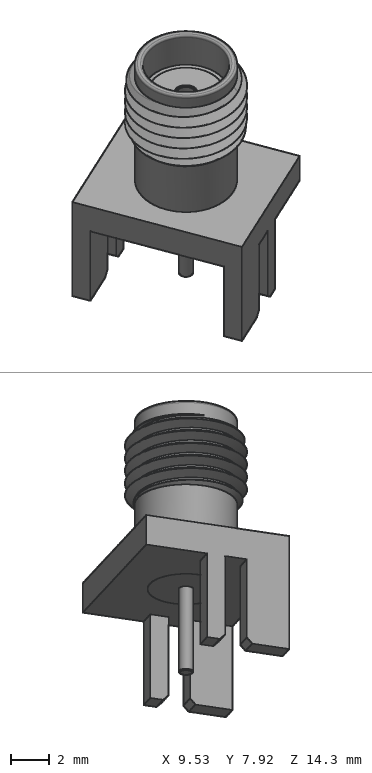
import cadquery as cq
import math

plate_x = 9.53
plate_y = 7.92
plate_thickness = 1.67
leg_length = 4.73
total_height = 14.28
plate_top = leg_length + plate_thickness

leg_thickness = 1.02
front_leg_width = 2.35
rear_leg_width = 1.01
leg_gap = 1.19
leg_chamfer = 0.3

barrel_radius = 2.67
bore_radius = 2.24
bore_depth = 2.0
rim_fillet = 0.13
bore_floor = total_height - bore_depth

thread_radius = 3.18
thread_pitch = 25.4 / 36
thread_flank_angle = 30
thread_top = total_height - 0.78
thread_length = 4.0
thread_bottom = thread_top - thread_length
first_crest_drop = 1.935
turns_below_first_crest = 5
thread_turns = 7
thread_embed = 0.03

insulator_radius = 2.0
contact_radius = 0.6
contact_recess = 0.05
socket_radius = 0.5
socket_depth = 3.5
pin_radius = 0.38
pin_tip_chamfer = 0.06


def cylinder(radius, bottom, top):
    return cq.Workplane("XY").workplane(offset=bottom).circle(radius).extrude(top - bottom)


def make_leg(side, y_front, width, chamfered_edge):
    """One leg, running up through the plate, chamfered at the tip corner facing the leg gap."""
    x_center = side * (plate_x - leg_thickness) / 2
    y_center = y_front + width / 2
    leg = cq.Workplane("XY").box(leg_thickness, width, plate_top, centered=(True, True, False))
    leg = leg.edges(chamfered_edge).chamfer(leg_chamfer)
    return leg.translate((x_center, y_center, 0))


def make_thread_envelope():
    """Blank of the thread, with both ends chamfered at 45 degrees down to the barrel."""
    overshoot = 2 * (thread_radius - barrel_radius)
    envelope_radius = barrel_radius + overshoot
    return (
        cq.Workplane("XZ")
        .moveTo(0, thread_bottom)
        .lineTo(barrel_radius, thread_bottom)
        .lineTo(envelope_radius, thread_bottom + overshoot)
        .lineTo(envelope_radius, thread_top - overshoot)
        .lineTo(barrel_radius, thread_top)
        .lineTo(0, thread_top)
        .close()
        .revolve(360, (0, 0, 0), (0, 1, 0))
    )


def make_thread():
    """Sharp V ridge swept along a helix and trimmed by the chamfered blank."""
    root_radius = barrel_radius - thread_embed
    half_width = (thread_radius - root_radius) * math.tan(math.radians(thread_flank_angle))
    helix_start = total_height - first_crest_drop - turns_below_first_crest * thread_pitch
    helix = cq.Wire.makeHelix(thread_pitch, thread_turns * thread_pitch, barrel_radius)
    ridge = (
        cq.Workplane("XZ")
        .moveTo(root_radius, -half_width)
        .lineTo(thread_radius, 0)
        .lineTo(root_radius, half_width)
        .close()
        .sweep(cq.Workplane(helix), isFrenet=True)
        .rotate((0, 0, 0), (0, 0, 1), 180)
        .translate((0, 0, helix_start))
    )
    return ridge.intersect(make_thread_envelope())


def make_barrel():
    barrel = cylinder(barrel_radius, plate_top, total_height)
    barrel = barrel.cut(cylinder(bore_radius, bore_floor, total_height))
    barrel = barrel.faces(">Z").edges().fillet(rim_fillet)
    return barrel.union(make_thread())


def make_housing():
    plate = cq.Workplane("XY").box(plate_x, plate_y, plate_thickness, centered=(True, True, False))
    housing = plate.translate((0, 0, leg_length))
    front_leg_y = -plate_y / 2
    rear_leg_y = front_leg_y + front_leg_width + leg_gap
    for side in (-1, 1):
        housing = housing.union(make_leg(side, front_leg_y, front_leg_width, ">Y and <Z"))
        housing = housing.union(make_leg(side, rear_leg_y, rear_leg_width, "<Y and <Z"))
    housing = housing.union(make_barrel())
    insulator_hole = cylinder(insulator_radius, leg_length, bore_floor)
    return housing.cut(insulator_hole)


def make_contact_insert():
    """Insulator plug with the socket of the contact at the top and its solder pin below."""
    insert = cylinder(insulator_radius, leg_length, bore_floor)
    insert = insert.cut(cylinder(contact_radius, bore_floor - contact_recess, bore_floor))
    insert = insert.cut(cylinder(socket_radius, bore_floor - socket_depth, bore_floor))
    pin = cylinder(pin_radius, 0, leg_length).faces("<Z").chamfer(pin_tip_chamfer)
    return insert.union(pin)


housing = make_housing()
contact_insert = make_contact_insert()
result = cq.Compound.makeCompound([housing.val(), contact_insert.val()])